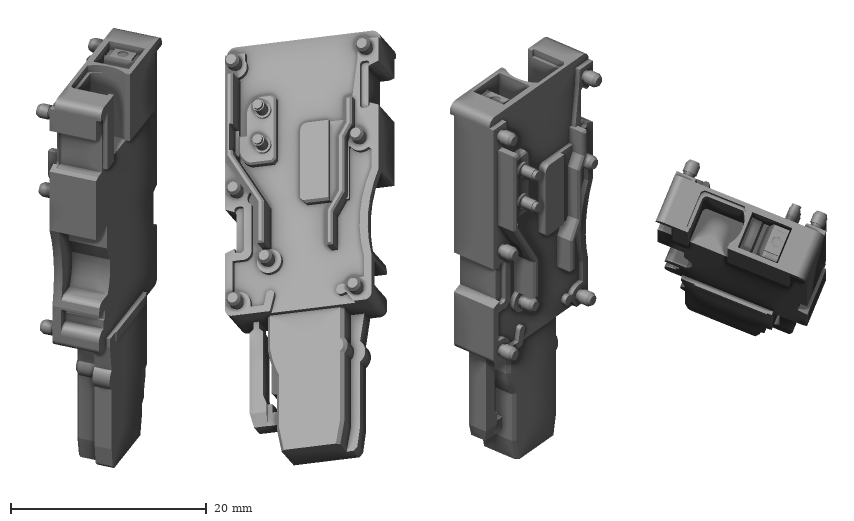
import cadquery as cq
import math


HALF_WIDTH = 8.25
TOP_Z = 44.65
HOUSING_BOTTOM_Z = 14.95
RIM_X = 0.0
FACE_X = 0.54
WEB_X = 0.94
BACK_X = 5.13
LIP_X = 5.65
TOP_RADIUS = 0.95
BOTTOM_RADIUS = 0.75
LOWER_EDGE_Y = -7.48
NOTCH_Y = 7.2
NOTCH_FLARE = 0.4
FRONT_NOTCH = (36.2, 41.05)
REAR_NOTCH = (21.9, 26.7)
GRIP_TOP_Z = 29.2
GRIP_BOTTOM_Z = 19.8
GRIP_DEEPEST = (-7.07, 23.4)
LIP_BOTTOM_Z = 36.7
LIP_HALF_WIDTH = 6.4

RIM_TOP_Z = 43.65
SLOT_WIDTH = 1.0
BOSS_RADIUS = 1.3

PIN_TIP_X = -1.77
PIN_RADIUS = 0.76
PIN_NECK_RADIUS = 0.62
PIN_NECK_LENGTH = 0.45
PIN_CHAMFER_LENGTH = 0.38
PIN_CHAMFER_DEPTH = 0.22
BOSS_PIN = (3.52, 20.46)
PINS = [
    (7.05, 42.45),
    (-7.0, 42.45),
    (-6.32, 32.7),
    (6.88, 28.4),
    BOSS_PIN,
    (6.88, 16.2),
    (-6.02, 16.2),
]
CONTACT_Y = 4.0
CONTACT_HEIGHTS = (33.04, 36.88)
CONTACT_TIP_X = -2.45
CONTACT_TIP_RADIUS = 0.5
CONTACT_SHOULDER_X = -2.05
CONTACT_RADIUS = 0.6
COLLAR_X = -0.65
COLLAR_RADIUS = 0.84
PAD_X = -0.38
PAD_CHAMFER = 0.2

RIB_WIDTH = 0.7
REAR_RIB_X = -2.15
RIB_CHAMFER = 0.2
FRONT_RIB_X = -1.3
RIB_OVERLAP = 0.2

TONGUE_X = 1.2
TONGUE_SPLIT_X = 3.66
TONGUE_BACK_X = 5.54
TONGUE_TOP_Z = 16.0
TONGUE_CHAMFER = 0.35
ARM_X = 2.4
ARM_BACK_X = 4.6


def prism(outline, x_start, x_end):
    """Extrude a closed YZ polygon from x_start to x_end."""
    return cq.Workplane("YZ", (x_start, 0, 0)).polyline(outline).close().extrude(x_end - x_start)


def block(x_range, y_range, z_range):
    """Box spanning the three given ranges."""
    sizes = [r[1] - r[0] for r in (x_range, y_range, z_range)]
    corner = (x_range[0], y_range[0], z_range[0])
    return cq.Workplane("XY", corner).box(*sizes, centered=False)


def disc(y, z, radius, x_start, x_end):
    """Cylinder along X."""
    return cq.Workplane("YZ", (x_start, 0, 0)).center(y, z).circle(radius).extrude(x_end - x_start)


def offset_path(points, distance):
    """Shift an open path sideways by distance, keeping mitred corners."""
    directions = []
    for start, end in zip(points, points[1:]):
        length = math.dist(start, end)
        directions.append(((end[0] - start[0]) / length, (end[1] - start[1]) / length))
    shifted = []
    for index, (y, z) in enumerate(points):
        before = directions[max(index - 1, 0)]
        after = directions[min(index, len(directions) - 1)]
        normal_y = -before[1] - after[1]
        normal_z = before[0] + after[0]
        scale = 2 * distance / (normal_y ** 2 + normal_z ** 2)
        shifted.append((y + scale * normal_y, z + scale * normal_z))
    return shifted


def band(points, width, x_start, x_end):
    """Wall of constant width that follows an open path."""
    one_side = offset_path(points, width / 2)
    other_side = offset_path(points, -width / 2)
    return prism(one_side + other_side[::-1], x_start, x_end)


def housing_profile(x_start, x_end):
    """Full outline of the housing between two depths."""
    top_turn = HALF_WIDTH - TOP_RADIUS
    low_z, high_z = FRONT_NOTCH
    rear_low_z, rear_high_z = REAR_NOTCH
    profile = (
        cq.Workplane("YZ", (x_start, 0, 0))
        .moveTo(top_turn, TOP_Z)
        .lineTo(-top_turn, TOP_Z)
        .radiusArc((-HALF_WIDTH, TOP_Z - TOP_RADIUS), -TOP_RADIUS)
        .lineTo(-HALF_WIDTH, high_z)
        .lineTo(-NOTCH_Y, high_z - NOTCH_FLARE)
        .lineTo(-NOTCH_Y, low_z + NOTCH_FLARE)
        .lineTo(-HALF_WIDTH, low_z)
        .lineTo(-HALF_WIDTH, GRIP_TOP_Z)
        .threePointArc(GRIP_DEEPEST, (LOWER_EDGE_Y, GRIP_BOTTOM_Z))
        .lineTo(LOWER_EDGE_Y, HOUSING_BOTTOM_Z + BOTTOM_RADIUS)
        .radiusArc((LOWER_EDGE_Y + BOTTOM_RADIUS, HOUSING_BOTTOM_Z), -BOTTOM_RADIUS)
        .lineTo(HALF_WIDTH - BOTTOM_RADIUS, HOUSING_BOTTOM_Z)
        .radiusArc((HALF_WIDTH, HOUSING_BOTTOM_Z + BOTTOM_RADIUS), -BOTTOM_RADIUS)
        .lineTo(HALF_WIDTH, rear_low_z)
        .lineTo(NOTCH_Y, rear_low_z + NOTCH_FLARE)
        .lineTo(NOTCH_Y, rear_high_z - NOTCH_FLARE)
        .lineTo(HALF_WIDTH, rear_high_z)
        .lineTo(HALF_WIDTH, TOP_Z - TOP_RADIUS)
        .radiusArc((top_turn, TOP_Z), -TOP_RADIUS)
        .close()
    )
    return profile.extrude(x_end - x_start)


def grip_recess():
    """Hollow in the -Y side behind the face plate, leaving two finger bars."""
    outside_y = -HALF_WIDTH - 1
    hollow = (
        cq.Workplane("YZ", (WEB_X, 0, 0))
        .moveTo(outside_y, GRIP_TOP_Z)
        .lineTo(-5.35, GRIP_TOP_Z)
        .lineTo(-5.35, 26.6)
        .lineTo(-4.5, 24.8)
        .threePointArc((-4.5, 22.9), (-5.1, 21.0))
        .lineTo(-6.6, 21.0)
        .threePointArc((-7.15, 20.75), (LOWER_EDGE_Y, 20.05))
        .lineTo(LOWER_EDGE_Y, 19.55)
        .lineTo(-5.9, 19.55)
        .lineTo(-5.9, 18.5)
        .lineTo(-6.2, 18.5)
        .lineTo(-6.2, 17.5)
        .lineTo(-6.6, 17.5)
        .threePointArc((-7.22, 17.15), (LOWER_EDGE_Y, 16.4))
        .lineTo(outside_y, 16.4)
        .close()
    )
    return hollow.extrude(BACK_X - WEB_X)


def front_notch_recess():
    """Deeper pocket in the floor of the front notch, behind the rim."""
    recess_y = -6.7
    end_margin = 0.2
    entry_radius = 0.28
    z_range = (FRONT_NOTCH[0] + end_margin, FRONT_NOTCH[1] - end_margin)
    recess = block((FACE_X, BACK_X), (-HALF_WIDTH, recess_y), z_range)
    return recess.edges("|Z and <X and >Y").fillet(entry_radius)


def top_lip():
    """Lip behind the top of the housing, overhanging along its upper edge."""
    overhang_z = 43.4
    profile = housing_profile(BACK_X, LIP_X)
    strip = block((BACK_X, LIP_X), (-HALF_WIDTH, HALF_WIDTH), (overhang_z, TOP_Z))
    panel = block((BACK_X, LIP_X), (-LIP_HALF_WIDTH, LIP_HALF_WIDTH), (LIP_BOTTOM_Z, TOP_Z))
    return profile.intersect(strip.union(panel))


def wire_funnel():
    """Rounded wire opening in the top, open to the back."""
    left_x = 0.95
    right_x = 5.1
    middle_x = (left_x + right_x) / 2
    back_y = -0.35
    crown_y = 0.3
    front_y = -5.05
    floor_z = 36.7
    ledge_depth = 0.8
    ledge_inset = 0.35
    corner_radius = 0.5
    ramp_foot_y = -0.07
    ramp_height = 5.0

    def opening(inset, depth):
        left = left_x + inset
        front = front_y + inset
        shape = (
            cq.Workplane("XY", (0, 0, TOP_Z - depth))
            .moveTo(left, back_y)
            .threePointArc((middle_x, crown_y), (right_x, back_y))
            .lineTo(right_x, front)
            .lineTo(left + corner_radius, front)
            .radiusArc((left, front + corner_radius), corner_radius)
            .close()
        )
        return shape.extrude(depth)

    mouth = opening(0, ledge_depth)
    shaft = opening(ledge_inset, TOP_Z - floor_z)
    ramp_outline = [(ramp_foot_y, floor_z), (crown_y, floor_z), (crown_y, floor_z + ramp_height)]
    shaft = shaft.cut(prism(ramp_outline, left_x, right_x))
    side_gap = block((middle_x, LIP_X), (front_y + ledge_inset, back_y), (floor_z, TOP_Z))
    return mouth.union(shaft).union(side_gap)


def screw_window():
    """Rectangular window in the top with a clamp block and a sill inside."""
    x_range = (1.2, 5.15)
    y_range = (0.6, 5.0)
    margin = 0.2
    floor_z = TOP_Z - 4.0
    clamp_z = TOP_Z - 0.6
    clamp_y = (3.15, y_range[1] - margin)
    clamp_foot_y = 2.3
    shoulder_drop = 0.25
    sill_front = 0.6
    sill_back = 1.0
    shoulder_edges = (1.94, 4.3)
    screw = (3.06, 4.05)
    screw_radius = 0.57
    screw_depth = 0.15
    pocket = block(x_range, y_range, (floor_z, TOP_Z))

    clamp_outline = [
        (clamp_y[1], floor_z),
        (clamp_y[1], clamp_z),
        (clamp_y[0], clamp_z),
        (clamp_foot_y, floor_z),
    ]
    clamp = prism(clamp_outline, x_range[0] + margin, x_range[1] - margin)
    for shoulder_x in ((x_range[0], shoulder_edges[0]), (shoulder_edges[1], x_range[1])):
        clamp = clamp.cut(block(shoulder_x, (clamp_y[0], y_range[1]), (clamp_z - shoulder_drop, clamp_z)))
    screw_slot = cq.Workplane("XY", (*screw, clamp_z - screw_depth)).circle(screw_radius)
    clamp = clamp.cut(screw_slot.extrude(screw_depth))

    sill_outline = [
        (y_range[0], floor_z),
        (1.9, floor_z),
        (1.7, floor_z + sill_front),
        (y_range[0], floor_z + sill_back),
    ]
    sill = prism(sill_outline, *x_range)
    return pocket.cut(clamp).cut(sill)


def rear_rim():
    """Raised rim on the +Y side of the face."""
    outside_y = HALF_WIDTH
    outline = (
        cq.Workplane("YZ", (RIM_X, 0, 0))
        .moveTo(outside_y, RIM_TOP_Z)
        .lineTo(6.1, RIM_TOP_Z)
        .lineTo(6.1, 42.8)
        .threePointArc((6.15, 41.5), (7.0, 41.0))
        .lineTo(7.0, 32.0)
        .lineTo(5.4, 28.35)
        .threePointArc((5.85, 27.7), (5.43, 26.9))
        .lineTo(5.43, 22.0)
        .threePointArc((5.6, 21.3), (6.2, 20.95))
        .lineTo(7.45, 20.95)
        .lineTo(7.45, 17.5)
        .lineTo(6.75, 17.45)
        .threePointArc((5.9, 17.05), (5.55, 16.2))
        .lineTo(5.5, 15.7)
        .lineTo(4.1, 15.7)
        .lineTo(3.85, 16.9)
        .threePointArc((3.35, 17.25), (3.0, 16.75))
        .lineTo(3.45, HOUSING_BOTTOM_Z)
        .lineTo(outside_y, HOUSING_BOTTOM_Z)
        .close()
    )
    return outline.extrude(FACE_X - RIM_X)


def front_rim():
    """Raised rim on the -Y side of the face."""
    outside_y = -HALF_WIDTH
    outline = (
        cq.Workplane("YZ", (RIM_X, 0, 0))
        .moveTo(outside_y, RIM_TOP_Z)
        .lineTo(-6.1, RIM_TOP_Z)
        .lineTo(-5.95, 41.5)
        .lineTo(-5.35, 37.0)
        .lineTo(-5.0, 32.0)
        .lineTo(-5.2, 32.0)
        .threePointArc((-6.32, 31.4), (-7.15, 31.7))
        .lineTo(-7.48, 31.4)
        .lineTo(-7.48, 29.4)
        .threePointArc((-6.2, 23.4), (-6.66, GRIP_BOTTOM_Z))
        .lineTo(-6.66, 17.5)
        .lineTo(-6.0, 17.45)
        .threePointArc((-5.35, 17.25), (-4.85, 16.85))
        .lineTo(-4.6, 16.9)
        .threePointArc((-3.7, 16.6), (-4.15, 15.85))
        .lineTo(-4.75, 16.05)
        .lineTo(-5.55, HOUSING_BOTTOM_Z)
        .lineTo(outside_y, HOUSING_BOTTOM_Z)
        .close()
    )
    return outline.extrude(FACE_X - RIM_X)


def rim_slot(side, notch):
    """Recess in the rim beside an edge notch; side is the sign of Y."""
    end_margin = 0.15
    edge_overrun = 0.05
    corner_radius = 0.35
    height = notch[1] - notch[0] + 2 * end_margin
    middle_y = side * (NOTCH_Y + edge_overrun - SLOT_WIDTH / 2)
    middle_z = (notch[0] + notch[1]) / 2
    shape = cq.Workplane("YZ", (RIM_X, 0, 0)).center(middle_y, middle_z).rect(SLOT_WIDTH, height)
    return shape.extrude(FACE_X - RIM_X).edges("|X").fillet(corner_radius)


def pin(y, z):
    """Snap pin with a narrow neck and a conical head."""
    head_end_x = RIM_X - PIN_NECK_LENGTH
    head = disc(y, z, PIN_RADIUS, PIN_TIP_X, head_end_x)
    head = head.faces("<X").chamfer(PIN_CHAMFER_LENGTH, PIN_CHAMFER_DEPTH)
    return head.union(disc(y, z, PIN_NECK_RADIUS, head_end_x, FACE_X))


def contact(z):
    """Stepped contact pin standing on a collar."""
    tip = disc(CONTACT_Y, z, CONTACT_TIP_RADIUS, CONTACT_TIP_X, CONTACT_SHOULDER_X)
    stem = disc(CONTACT_Y, z, CONTACT_RADIUS, CONTACT_SHOULDER_X, FACE_X)
    return tip.union(stem).union(disc(CONTACT_Y, z, COLLAR_RADIUS, COLLAR_X, FACE_X))


def contact_pad():
    """Raised pad that carries the contact pins, with a foot reaching towards the rear rib."""
    thickness = FACE_X + RIB_OVERLAP - PAD_X
    lobe_radius = 2.0
    lobe = (
        cq.Workplane("YZ", (PAD_X, 0, 0))
        .moveTo(2.75, 38.25)
        .lineTo(3.15, 38.65)
        .lineTo(4.0, 38.65)
        .radiusArc((4.0 + lobe_radius, 38.65 - lobe_radius), lobe_radius)
        .lineTo(6.0, 33.0)
        .lineTo(5.5, 31.2)
        .lineTo(3.1, 31.2)
        .lineTo(2.75, 31.55)
        .close()
        .extrude(thickness)
    )
    foot = (
        cq.Workplane("YZ", (PAD_X, 0, 0))
        .moveTo(5.0, 34.5)
        .lineTo(6.75, 34.5)
        .lineTo(6.75, 33.0)
        .threePointArc((6.3, 31.75), (5.5, 31.2))
        .lineTo(5.0, 31.2)
        .close()
        .extrude(thickness)
    )
    lobe = lobe.faces("<X").chamfer(PAD_CHAMFER)
    return lobe.union(foot.faces("<X").chamfer(PAD_CHAMFER))


def front_panel():
    """Raised panel beside the front rib, with a lower step next to the rib."""
    low_z = 26.3
    high_z = 35.05
    panel_y = (-3.0, 0.06)
    step_y = (-5.0, -3.0)
    step_x = 0.1
    end_x = FACE_X + RIB_OVERLAP
    top_radius = 0.75
    corner = 0.5
    bottom_chamfer = 0.25
    panel = block((PAD_X, end_x), panel_y, (low_z, high_z))
    panel = panel.edges("|X and >Y and >Z").fillet(top_radius)
    panel = panel.edges("|X and >Y and <Z").chamfer(corner)
    panel = panel.faces("<X").edges("<Z").chamfer(bottom_chamfer)
    return panel.union(block((step_x, end_x), step_y, (low_z, high_z)))


def rear_rib():
    """Tall cranked rib on the +Y side, thinner beside the contact pad."""
    upper_y = 7.13
    path = [(upper_y, 40.85), (upper_y, 31.8), (3.8, 26.3), (3.8, 21.75)]
    thin_z = (32.3, 35.2)
    rib = band(path, RIB_WIDTH, REAR_RIB_X, FACE_X + RIB_OVERLAP)
    rib = rib.faces("<X").chamfer(RIB_CHAMFER)
    relief = block((REAR_RIB_X, RIM_X), (upper_y - RIB_WIDTH / 2, upper_y), thin_z)
    return rib.cut(relief)


def front_rib():
    """Lower cranked rib on the -Y side."""
    path = [(-5.38, 37.0), (-5.38, 34.1), (-4.57, 32.7), (-4.57, 26.7), (-3.37, 24.7), (-3.37, 21.0)]
    rib = band(path, RIB_WIDTH, FRONT_RIB_X, FACE_X + RIB_OVERLAP)
    return rib.faces("<X").chamfer(RIB_CHAMFER)


def narrow_plate():
    """Front plate of the tongue with chamfered long edges and square ends."""
    overrun_z = -1.0
    outline = (
        cq.Workplane("YZ", (TONGUE_X, 0, 0))
        .moveTo(4.15, TONGUE_TOP_Z)
        .lineTo(4.15, 11.2)
        .threePointArc((3.8, 9.7), (3.2, 8.2))
        .lineTo(3.2, 2.5)
        .lineTo(2.5, overrun_z)
        .lineTo(-3.42, overrun_z)
        .lineTo(-4.05, 2.5)
        .lineTo(-4.05, 10.0)
        .threePointArc((-4.4, 10.85), (-4.05, 11.7))
        .lineTo(-4.05, TONGUE_TOP_Z)
        .close()
    )
    plate = outline.extrude(TONGUE_SPLIT_X - TONGUE_X).faces("<X").chamfer(TONGUE_CHAMFER)
    trim = block((TONGUE_X, TONGUE_SPLIT_X), (-HALF_WIDTH, HALF_WIDTH), (overrun_z, 0))
    return plate.cut(trim)


def wide_plate():
    """Back plate of the tongue with the detent bump on its -Y edge."""
    outline = (
        cq.Workplane("YZ", (TONGUE_SPLIT_X, 0, 0))
        .moveTo(4.5, TONGUE_TOP_Z)
        .lineTo(4.5, 7.5)
        .lineTo(4.2, 7.25)
        .lineTo(3.7, 7.25)
        .lineTo(3.7, 4.0)
        .lineTo(3.2, 3.5)
        .lineTo(3.2, 2.5)
        .lineTo(2.7, 0)
        .lineTo(-4.35, 0)
        .lineTo(-4.75, 0.4)
        .lineTo(-5.05, 2.6)
        .lineTo(-5.05, 9.7)
        .threePointArc((-5.6, 10.85), (-5.05, 12.0))
        .lineTo(-5.5, HOUSING_BOTTOM_Z)
        .lineTo(-5.5, TONGUE_TOP_Z)
        .close()
    )
    plate = outline.extrude(TONGUE_BACK_X - TONGUE_SPLIT_X)
    stop_half_width = 4.0
    stop_y = (-stop_half_width, stop_half_width)
    stop = block((BACK_X, LIP_X), stop_y, (HOUSING_BOTTOM_Z, TONGUE_TOP_Z))
    return plate.union(stop)


def side_arm():
    """Slim arm hanging beside the tongue, hooked onto it by a tapered foot."""
    shank_y = (5.0, 6.4)
    neck_half = 0.3
    middle_y = sum(shank_y) / 2
    shank_top_z = 13.85
    neck_bottom_z = 14.2
    hook_y = 4.6
    hook_z = 5.9
    foot_z = (3.5, 4.95)
    foot_taper = 0.35
    taper_height = foot_z[1] - foot_z[0] - 0.01
    step_y = 4.1
    bridge_x = ARM_X + 0.4
    bridge_y = 3.0
    outline = [
        (middle_y - neck_half, TONGUE_TOP_Z),
        (middle_y + neck_half, TONGUE_TOP_Z),
        (middle_y + neck_half, neck_bottom_z),
        (shank_y[1], shank_top_z),
        (shank_y[1], foot_z[1]),
        (hook_y, foot_z[1]),
        (hook_y, hook_z),
        (shank_y[0], 6.9),
        (shank_y[0], shank_top_z),
        (middle_y - neck_half, neck_bottom_z),
    ]
    arm = prism(outline, ARM_X, ARM_BACK_X)
    foot = block((ARM_X, ARM_BACK_X), (hook_y, shank_y[1]), foot_z)
    foot = foot.faces("<Z").edges("<X or >Y").chamfer(taper_height, foot_taper)
    step = block((bridge_x, ARM_BACK_X), (step_y, hook_y), (foot_z[0], hook_z))
    bridge = block((bridge_x, ARM_BACK_X), (bridge_y, step_y), foot_z)
    return arm.union(foot).union(step).union(bridge)


def build():
    body = housing_profile(FACE_X, BACK_X).cut(grip_recess()).cut(front_notch_recess())
    body = body.union(top_lip())
    body = body.cut(wire_funnel()).cut(screw_window())

    rim = rear_rim().union(front_rim()).intersect(housing_profile(RIM_X, FACE_X))
    rim = rim.cut(rim_slot(1, REAR_NOTCH)).cut(rim_slot(-1, FRONT_NOTCH))
    body = body.union(rim)
    body = body.union(disc(*BOSS_PIN, BOSS_RADIUS, RIM_X, FACE_X))

    for feature in (contact_pad(), front_panel(), rear_rib(), front_rib()):
        body = body.union(feature)
    for y, z in PINS:
        body = body.union(pin(y, z))
    for z in CONTACT_HEIGHTS:
        body = body.union(contact(z))
    for feature in (narrow_plate(), wide_plate(), side_arm()):
        body = body.union(feature)
    return body


result = build()